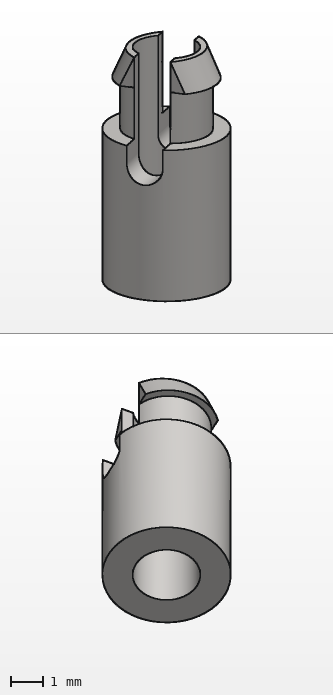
import cadquery as cq

total_height = 7.7
body_diameter = 4.0
body_height = 5.005
bore_diameter = 2.1

slot_width = 1.2
slot_bottom = 3.8

leg_depth = 2.5
neck_reach = 1.455
barb_height = 1.0
barb_base_reach = 1.7
barb_base_corner = 1.085
barb_tip_reach = 1.25

slot_radius = slot_width / 2
barb_base = total_height - barb_height


def leg_outline(workplane, corner, reach):
    """Outline from the part axis to a bulging arc between two flat sides."""
    half_depth = leg_depth / 2
    return (
        workplane.moveTo(0, -half_depth)
        .lineTo(corner, -half_depth)
        .threePointArc((reach, 0), (corner, half_depth))
        .lineTo(0, half_depth)
        .close()
    )


def make_leg():
    """Leg on the +X side: a straight neck below a tapered barb."""
    neck_plane = cq.Workplane("XY").workplane(offset=body_height)
    neck = leg_outline(neck_plane, slot_radius, neck_reach).extrude(barb_base - body_height)

    barb_plane = cq.Workplane("XY").workplane(offset=barb_base)
    barb_foot = leg_outline(barb_plane, barb_base_corner, barb_base_reach)
    tip_plane = barb_foot.workplane(offset=barb_height)
    barb = leg_outline(tip_plane, slot_radius, barb_tip_reach).loft(ruled=True)
    return neck.union(barb)


def make_slot():
    """Round-bottomed slot running through the part along Y."""
    arc_center = slot_bottom + slot_radius
    return (
        cq.Workplane("XZ")
        .moveTo(-slot_radius, total_height)
        .lineTo(-slot_radius, arc_center)
        .threePointArc((0, slot_bottom), (slot_radius, arc_center))
        .lineTo(slot_radius, total_height)
        .close()
        .extrude(body_diameter / 2, both=True)
    )


body = cq.Workplane("XY").circle(body_diameter / 2).extrude(body_height)
bore = cq.Workplane("XY").circle(bore_diameter / 2).extrude(total_height)
leg = make_leg()

result = body.union(leg).union(leg.mirror("YZ")).cut(bore).cut(make_slot())